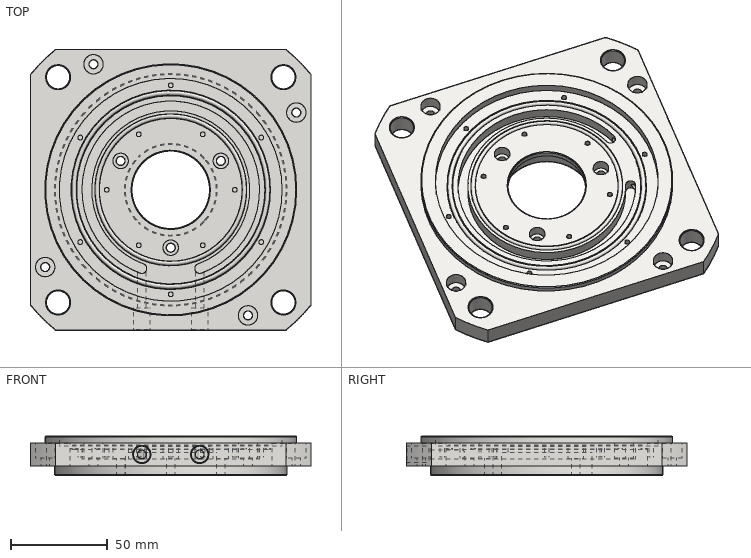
import cadquery as cq
import math

plate_side = 145.0
plate_corner_diameter = 187.5
bottom_boss_diameter = 120.0
top_rim_diameter = 130.0
bottom_boss_height = 5.0
plate_thickness = 12.0
total_height = 20.5
edge_chamfer = 0.5
hole_chamfer = 0.5

recess_diameter = 115.0
recess_depth = 5.1
bore_diameter = 40.0
bore_lip_height = 3.5
bottom_bore_diameter = 47.0

channel_outer_radius = 45.8
channel_width = 5.1
channel_depth = 6.8

outer_groove_diameter = 103.0
outer_groove_inner_diameter = 97.2
outer_seal_section = 2.3
inner_groove_diameter = 78.5
inner_groove_inner_diameter = 73.7
inner_seal_section = 2.2
seal_protrusion = 0.5

corner_hole_diameter = 12.0
corner_hole_offset = 58.1

screw_hole_diameter = 4.5
outer_counterbore_diameter = 10.0
outer_counterbore_depth = 8.0
outer_screw_x = 64.8
outer_screw_y = 39.9
outer_screw_count = 4
inner_counterbore_diameter = 8.0
inner_counterbore_depth = 6.5
inner_screw_circle_radius = 29.9
inner_screw_count = 3
inner_screw_start_angle = -90

tapped_hole_diameter = 2.5
tapped_hole_depth = 5.8
tapped_hole_count = 6
outer_tapped_circle_radius = 54.0
inner_tapped_circle_radius = 33.0
outer_tapped_start_angle = 30
inner_tapped_start_angle = 0

port_offset = 15.0
port_diameter = 8.5
port_depth = 11.6
port_chamfer = 0.5
port_duct_diameter = 4.5

plate_top = bottom_boss_height + plate_thickness
recess_floor = total_height - recess_depth
lip_bottom = recess_floor - bore_lip_height
channel_floor = recess_floor - channel_depth
channel_inner_radius = channel_outer_radius - channel_width
channel_mid_radius = channel_outer_radius - channel_width / 2
channel_end_y = -math.sqrt(channel_mid_radius**2 - port_offset**2)
port_height = bottom_boss_height + plate_thickness / 2
front_face_y = -plate_side / 2


def disc(diameter, bottom, height):
    """Upright cylinder on the central axis."""
    return cq.Workplane("XY").workplane(offset=bottom).circle(diameter / 2).extrude(height)


def annulus(outer_diameter, inner_diameter, bottom, height):
    """Upright tube on the central axis."""
    return disc(outer_diameter, bottom, height).cut(disc(inner_diameter, bottom, height))


def circle_points(radius, count, start_angle):
    """Points evenly spaced on a circle around the central axis, angles in degrees."""
    angles = [math.radians(start_angle + 360 * i / count) for i in range(count)]
    return [(radius * math.cos(a), radius * math.sin(a)) for a in angles]


def holes(points, diameter, top, depth):
    """Vertical holes that go down from the given height."""
    return cq.Workplane("XY").workplane(offset=top).pushPoints(points).circle(diameter / 2).extrude(-depth)


def countersinks(points, diameter, top, chamfer):
    """45-degree cones that break the top edges of vertical holes."""
    cones = cq.Workplane("XY")
    for x, y in points:
        base = cq.Vector(x, y, top - chamfer)
        cones = cones.add(cq.Solid.makeCone(diameter / 2, diameter / 2 + chamfer, chamfer, base))
    return cones.combine()


def counterbored_holes(points, top, counterbore_diameter, counterbore_depth):
    """Screw holes through the full height with a counterbore from the given height."""
    through = holes(points, screw_hole_diameter, top, top)
    return through.union(holes(points, counterbore_diameter, top, counterbore_depth))


def housing_blank():
    """Square plate with turned corners, a boss below and a rim above."""
    plate = cq.Workplane("XY").workplane(offset=bottom_boss_height).rect(plate_side, plate_side)
    plate = plate.extrude(plate_thickness)
    plate = plate.intersect(disc(plate_corner_diameter, bottom_boss_height, plate_thickness))
    boss = disc(bottom_boss_diameter, 0, plate_top).faces("<Z").edges().chamfer(edge_chamfer)
    rim = disc(top_rim_diameter, bottom_boss_height, total_height - bottom_boss_height)
    rim = rim.faces(">Z").edges().chamfer(edge_chamfer)
    return plate.union(boss).union(rim)


def central_opening():
    """Top recess, bore and the wider bore below it, chamfered at both ends."""
    recess = disc(recess_diameter, recess_floor, recess_depth)
    bore = disc(bore_diameter, 0, recess_floor)
    bore_edge = countersinks([(0, 0)], bore_diameter, recess_floor, hole_chamfer)
    bottom_bore = disc(bottom_bore_diameter, 0, lip_bottom)
    bottom_radius = bottom_bore_diameter / 2
    bottom_edge = cq.Solid.makeCone(bottom_radius + hole_chamfer, bottom_radius, hole_chamfer)
    return recess.union(bore).union(bore_edge).union(bottom_bore).union(cq.Workplane(bottom_edge))


def channel():
    """C-shaped cooling channel with round ends, open towards -Y."""
    def end_points(radius):
        scale = radius / channel_mid_radius
        return (-port_offset * scale, channel_end_y * scale), (port_offset * scale, channel_end_y * scale)

    outer_left, outer_right = end_points(channel_outer_radius)
    inner_left, inner_right = end_points(channel_inner_radius)
    arc = (
        cq.Workplane("XY").workplane(offset=channel_floor)
        .moveTo(*outer_left)
        .threePointArc((0, channel_outer_radius), outer_right)
        .lineTo(*inner_right)
        .threePointArc((0, channel_inner_radius), inner_left)
        .close()
        .extrude(channel_depth)
    )
    ends = [(-port_offset, channel_end_y), (port_offset, channel_end_y)]
    return arc.union(holes(ends, channel_width, recess_floor, channel_depth))


def port(x):
    """Chamfered connection port in the -Y face, with a duct to the channel end."""
    mouth = cq.Vector(x, front_face_y, port_height)
    inward = cq.Vector(0, 1, 0)
    socket = cq.Solid.makeCylinder(port_diameter / 2, port_depth, mouth, inward)
    duct = cq.Solid.makeCylinder(port_duct_diameter / 2, channel_end_y - front_face_y, mouth, inward)
    mouth_radius = port_diameter / 2 + port_chamfer
    mouth_edge = cq.Solid.makeCone(mouth_radius, port_diameter / 2, port_chamfer, mouth, inward)
    return cq.Workplane(socket.fuse(duct, mouth_edge))


def seal_groove(outer_diameter, inner_diameter, section):
    """Ring groove in the recess floor, just deep enough to leave the seal slightly proud."""
    depth = section - seal_protrusion
    return annulus(outer_diameter, inner_diameter, recess_floor - depth, depth)


def seal_ring(outer_diameter, inner_diameter, section):
    """O-ring that rests on the floor of its groove, midway between the groove walls."""
    middle = recess_floor + seal_protrusion - section / 2
    ring_radius = (outer_diameter + inner_diameter) / 4
    return cq.Workplane(cq.Solid.makeTorus(ring_radius, section / 2, cq.Vector(0, 0, middle)))


def housing_body():
    """Complete housing with all its openings cut."""
    corner_points = [(x, y) for x in (-corner_hole_offset, corner_hole_offset)
                     for y in (-corner_hole_offset, corner_hole_offset)]
    outer_screw_radius = math.hypot(outer_screw_x, outer_screw_y)
    outer_screw_angle = math.degrees(math.atan2(outer_screw_y, outer_screw_x))
    outer_screw_points = circle_points(outer_screw_radius, outer_screw_count, outer_screw_angle)
    inner_screw_points = circle_points(inner_screw_circle_radius, inner_screw_count, inner_screw_start_angle)
    outer_tapped_points = circle_points(outer_tapped_circle_radius, tapped_hole_count, outer_tapped_start_angle)
    inner_tapped_points = circle_points(inner_tapped_circle_radius, tapped_hole_count, inner_tapped_start_angle)

    cutters = [
        central_opening(),
        channel(),
        port(-port_offset),
        port(port_offset),
        seal_groove(outer_groove_diameter, outer_groove_inner_diameter, outer_seal_section),
        seal_groove(inner_groove_diameter, inner_groove_inner_diameter, inner_seal_section),
        holes(corner_points, corner_hole_diameter, plate_top, plate_thickness),
        countersinks(corner_points, corner_hole_diameter, plate_top, hole_chamfer),
        counterbored_holes(outer_screw_points, plate_top, outer_counterbore_diameter, outer_counterbore_depth),
        counterbored_holes(inner_screw_points, recess_floor, inner_counterbore_diameter, inner_counterbore_depth),
        holes(outer_tapped_points, tapped_hole_diameter, recess_floor, tapped_hole_depth),
        holes(inner_tapped_points, tapped_hole_diameter, recess_floor, tapped_hole_depth),
    ]
    body = housing_blank()
    for cutter in cutters:
        body = body.cut(cutter)
    return body.solids()


housing = housing_body()
outer_seal = seal_ring(outer_groove_diameter, outer_groove_inner_diameter, outer_seal_section)
inner_seal = seal_ring(inner_groove_diameter, inner_groove_inner_diameter, inner_seal_section)

result = cq.Compound.makeCompound([housing.val(), outer_seal.val(), inner_seal.val()])